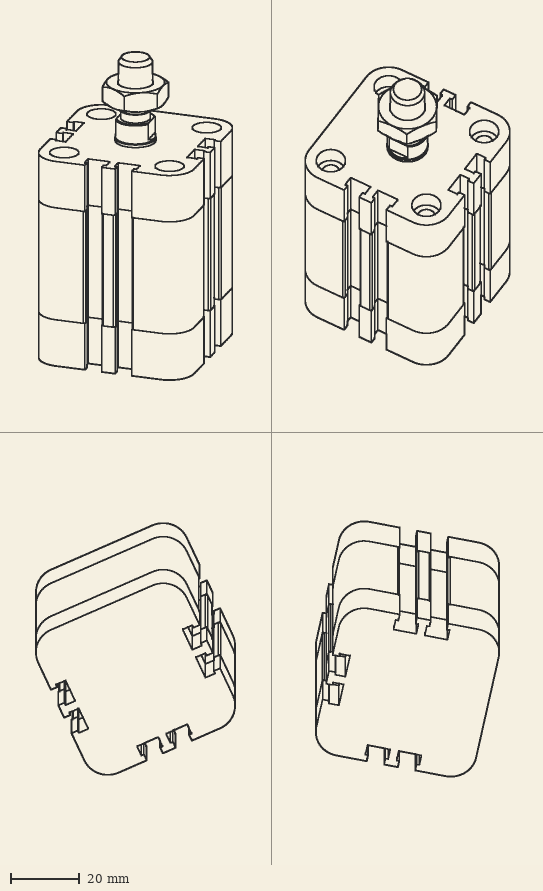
import cadquery as cq
import math


BODY_WIDTH = 47.5
CORNER_RADIUS = 7.6
HALF_WIDTH = BODY_WIDTH / 2

CAP_HEIGHT = 14.5
BARREL_HEIGHT = 35.0
BARREL_BOTTOM = CAP_HEIGHT
FRONT_CAP_BOTTOM = BARREL_BOTTOM + BARREL_HEIGHT
BODY_TOP = FRONT_CAP_BOTTOM + CAP_HEIGHT

SLOT_DEPTH = 5.0
LIP_THICKNESS = 2.0
MOUTH_INNER = 2.1
MOUTH_OUTER = 7.2
POCKET_INNER = 1.3
POCKET_OUTER = 8.0
BARREL_LIP_CHAMFER = 0.5
SLOTTED_SIDES = (-90, 0, 90)

SCREW_PITCH = 32.5
SCREW_HOLE_DIAMETER = 5.1
COUNTERBORE_DIAMETER = 8.5
COUNTERBORE_DEPTH = 5.0

ROD_DIAMETER = 12.0
WRENCH_DIAMETER = 11.8
NECK_DIAMETER = 8.7
THREAD_DIAMETER = 10.0
TIP_DIAMETER = 8.2
ROD_TOP = 90.0
TIP_CHAMFER_HEIGHT = 1.4
THREAD_BOTTOM = 74.0
THREAD_RUNOUT_HEIGHT = 0.45
NECK_TOP = THREAD_BOTTOM - THREAD_RUNOUT_HEIGHT
WRENCH_TOP = 71.0
WRENCH_CHAMFER = 0.3
COLLAR_HEIGHT = 1.1
COLLAR_CHAMFER_HEIGHT = 0.3
COLLAR_TOP = BODY_TOP + COLLAR_HEIGHT
FLAT_WIDTH = 10.0
FLAT_BOTTOM = 65.9
FLAT_RUNOUT_DROP = 0.45

NUT_FLATS = 17.0
NUT_HEIGHT = 6.0
NUT_BOTTOM = 76.05
NUT_FACE_DIAMETER = 16.9
NUT_BORE_DIAMETER = 10.4
NUT_CHAMFER_ANGLE = 30


def slot_cutter(bottom, height, side, chamfer):
    """One T-slot beside the middle of the -Y face; side is +1 or -1 along X."""
    face = -HALF_WIDTH
    lip = face + LIP_THICKNESS
    floor = face + SLOT_DEPTH
    outline = [
        (MOUTH_INNER, lip),
        (POCKET_INNER, lip),
        (POCKET_INNER, floor),
        (POCKET_OUTER, floor),
        (POCKET_OUTER, lip),
        (MOUTH_OUTER, lip),
    ]
    if chamfer > 0:
        outline += [
            (MOUTH_OUTER, face + chamfer),
            (MOUTH_OUTER + chamfer, face),
            (MOUTH_INNER - chamfer, face),
            (MOUTH_INNER, face + chamfer),
        ]
    else:
        outline += [(MOUTH_OUTER, face), (MOUTH_INNER, face)]
    points = [(side * x, y) for x, y in outline]
    return cq.Workplane("XY").workplane(offset=bottom).polyline(points).close().extrude(height)


def slotted_block(bottom, height, lip_chamfer=0.0):
    """Rounded square block with a pair of T-slots in each slotted side."""
    block = (
        cq.Workplane("XY")
        .workplane(offset=bottom)
        .rect(BODY_WIDTH, BODY_WIDTH)
        .extrude(height)
        .edges("|Z")
        .fillet(CORNER_RADIUS)
    )
    for angle in SLOTTED_SIDES:
        for side in (-1, 1):
            cutter = slot_cutter(bottom, height, side, lip_chamfer)
            block = block.cut(cutter.rotate((0, 0, 0), (0, 0, 1), angle))
    return block


def make_rear_cap():
    """Plain slotted cap at the foot of the cylinder."""
    return slotted_block(0, CAP_HEIGHT)


def make_barrel():
    """Slotted barrel whose slot mouths have chamfered lips."""
    return slotted_block(BARREL_BOTTOM, BARREL_HEIGHT, BARREL_LIP_CHAMFER)


def make_front_cap():
    """Slotted cap with a rod bore and four counterbored screw holes."""
    cap = slotted_block(FRONT_CAP_BOTTOM, CAP_HEIGHT)
    rod_bore = (
        cq.Workplane("XY")
        .workplane(offset=FRONT_CAP_BOTTOM)
        .circle(ROD_DIAMETER / 2)
        .extrude(CAP_HEIGHT)
    )
    return (
        cap.cut(rod_bore)
        .faces(">Z")
        .workplane(origin=(0, 0, BODY_TOP))
        .rect(SCREW_PITCH, SCREW_PITCH, forConstruction=True)
        .vertices()
        .cboreHole(SCREW_HOLE_DIAMETER, COUNTERBORE_DIAMETER, COUNTERBORE_DEPTH, CAP_HEIGHT)
    )


def revolve_about_axis(profile):
    """Solid of revolution about Z from (radius, height) points."""
    return cq.Workplane("XZ").polyline(profile).close().revolve(360, (0, 0, 0), (0, 1, 0))


def make_rod():
    """Turned rod with a threaded end and two wrench flats facing -X and +X."""
    profile = [
        (0, FRONT_CAP_BOTTOM),
        (ROD_DIAMETER / 2, FRONT_CAP_BOTTOM),
        (ROD_DIAMETER / 2, COLLAR_TOP - COLLAR_CHAMFER_HEIGHT),
        (WRENCH_DIAMETER / 2, COLLAR_TOP),
        (WRENCH_DIAMETER / 2, WRENCH_TOP - WRENCH_CHAMFER),
        (WRENCH_DIAMETER / 2 - WRENCH_CHAMFER, WRENCH_TOP),
        (NECK_DIAMETER / 2, WRENCH_TOP),
        (NECK_DIAMETER / 2, NECK_TOP),
        (THREAD_DIAMETER / 2, THREAD_BOTTOM),
        (THREAD_DIAMETER / 2, ROD_TOP - TIP_CHAMFER_HEIGHT),
        (TIP_DIAMETER / 2, ROD_TOP),
        (0, ROD_TOP),
    ]
    rod = revolve_about_axis(profile)
    flat_x = FLAT_WIDTH / 2
    surface_x = WRENCH_DIAMETER / 2
    flat_profile = [
        (flat_x, FLAT_BOTTOM),
        (surface_x, FLAT_BOTTOM - FLAT_RUNOUT_DROP),
        (surface_x, WRENCH_TOP),
        (flat_x, WRENCH_TOP),
    ]
    for side in (-1, 1):
        points = [(side * x, z) for x, z in flat_profile]
        rod = rod.cut(cq.Workplane("XZ").polyline(points).close().extrude(surface_x, both=True))
    return rod


def make_nut():
    """Hexagon nut with flats facing -X and +X and both ends chamfered."""
    corner_radius = NUT_FLATS / math.sqrt(3)
    face_radius = NUT_FACE_DIAMETER / 2
    chamfer_height = (corner_radius - face_radius) * math.tan(math.radians(NUT_CHAMFER_ANGLE))
    nut_top = NUT_BOTTOM + NUT_HEIGHT
    hexagon = (
        cq.Workplane("XY")
        .workplane(offset=NUT_BOTTOM)
        .transformed(rotate=(0, 0, 30))
        .polygon(6, 2 * corner_radius)
        .extrude(NUT_HEIGHT)
    )
    envelope_profile = [
        (NUT_BORE_DIAMETER / 2, NUT_BOTTOM),
        (face_radius, NUT_BOTTOM),
        (corner_radius, NUT_BOTTOM + chamfer_height),
        (corner_radius, nut_top - chamfer_height),
        (face_radius, nut_top),
        (NUT_BORE_DIAMETER / 2, nut_top),
    ]
    envelope = revolve_about_axis(envelope_profile)
    return hexagon.intersect(envelope)


rear_cap = make_rear_cap()
barrel = make_barrel()
front_cap = make_front_cap()
rod = make_rod()
nut = make_nut()

result = cq.Compound.makeCompound([rear_cap.val(), barrel.val(), front_cap.val(), rod.val(), nut.val()])